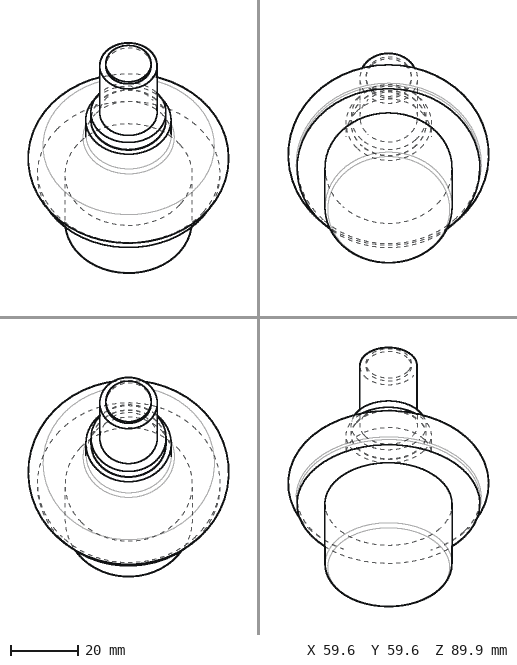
import cadquery as cq
import math

TOP_Z = 89.9
STEM_SHOULDER_Z = 88.9
COLLAR_TOP_Z = 65.75
SEAT_Z = 62.2
NECK_TOP_Z = 62.0
SHOULDER_END_Z = 49.2
FLANGE_BOTTOM_Z = 35.1

STEM_TIP_RADIUS = 6.75
STEM_RADIUS = 8.5
COLLAR_RADIUS = 11.15
NECK_RADIUS = 12.7
SHOULDER_END_RADIUS = 25.45
KNOB_RADIUS = 59.6 / 2
FLANGE_RADIUS = 27.2
PLUG_RADIUS = 18.9

SHOULDER_SLOPE = math.radians(20)
TIP_SLOPE = math.radians(30)
NECK_FILLET = 1.35
FLANGE_FILLET = 1.0
PLUG_FILLET = 1.5


def revolve_profile(profile):
    """Turn a closed radius-height profile about the Z axis."""
    return profile.close().revolve(360, (0, 0, 0), (0, 1, 0))


def arc_point(center, radius, angle):
    """Point of a circle at an angle measured from the outward radial direction."""
    return (center[0] + radius * math.cos(angle), center[1] + radius * math.sin(angle))


def make_stem():
    """Stepped shaft with a collar that rests on the knob."""
    return revolve_profile(
        cq.Workplane("XZ")
        .moveTo(0, SEAT_Z)
        .lineTo(COLLAR_RADIUS, SEAT_Z)
        .lineTo(COLLAR_RADIUS, COLLAR_TOP_Z)
        .lineTo(STEM_RADIUS, COLLAR_TOP_Z)
        .lineTo(STEM_RADIUS, STEM_SHOULDER_Z)
        .lineTo(STEM_TIP_RADIUS, STEM_SHOULDER_Z)
        .lineTo(STEM_TIP_RADIUS, TOP_Z)
        .lineTo(0, TOP_Z)
    )


def make_knob():
    """Neck, sloping shoulder, rounded rim and flange, with a thin seat for the collar."""
    rim_start_angle = math.pi / 2 - SHOULDER_SLOPE
    rim_radius = (KNOB_RADIUS - SHOULDER_END_RADIUS) / (1 - math.cos(rim_start_angle))
    rim_center = (
        KNOB_RADIUS - rim_radius,
        SHOULDER_END_Z - rim_radius * math.sin(rim_start_angle),
    )

    flange_fillet_x = FLANGE_RADIUS + FLANGE_FILLET
    rim_end_angle = -math.acos((flange_fillet_x - rim_center[0]) / (rim_radius + FLANGE_FILLET))
    flange_fillet_center = arc_point(rim_center, rim_radius + FLANGE_FILLET, rim_end_angle)
    flange_fillet_mid_angle = math.pi + rim_end_angle / 2

    neck_fillet_x = NECK_RADIUS + NECK_FILLET
    neck_fillet_end_angle = 1.5 * math.pi - SHOULDER_SLOPE
    neck_fillet_end_x = neck_fillet_x + NECK_FILLET * math.cos(neck_fillet_end_angle)
    neck_fillet_end_z = (
        SHOULDER_END_Z + (SHOULDER_END_RADIUS - neck_fillet_end_x) * math.tan(SHOULDER_SLOPE)
    )
    neck_fillet_center = (
        neck_fillet_x,
        neck_fillet_end_z - NECK_FILLET * math.sin(neck_fillet_end_angle),
    )
    neck_fillet_mid_angle = (math.pi + neck_fillet_end_angle) / 2

    return revolve_profile(
        cq.Workplane("XZ")
        .moveTo(0, SEAT_Z)
        .lineTo(COLLAR_RADIUS, SEAT_Z)
        .lineTo(COLLAR_RADIUS, NECK_TOP_Z)
        .lineTo(NECK_RADIUS, NECK_TOP_Z)
        .lineTo(NECK_RADIUS, neck_fillet_center[1])
        .threePointArc(
            arc_point(neck_fillet_center, NECK_FILLET, neck_fillet_mid_angle),
            (neck_fillet_end_x, neck_fillet_end_z),
        )
        .lineTo(SHOULDER_END_RADIUS, SHOULDER_END_Z)
        .threePointArc(
            (KNOB_RADIUS, rim_center[1]),
            arc_point(rim_center, rim_radius, rim_end_angle),
        )
        .threePointArc(
            arc_point(flange_fillet_center, FLANGE_FILLET, flange_fillet_mid_angle),
            (FLANGE_RADIUS, flange_fillet_center[1]),
        )
        .lineTo(FLANGE_RADIUS, FLANGE_BOTTOM_Z)
        .lineTo(0, FLANGE_BOTTOM_Z)
    )


def make_plug():
    """Cylinder below the flange, blended into a conical tip."""
    cone_top_radius = PLUG_RADIUS - PLUG_FILLET * (1 - math.sin(TIP_SLOPE))
    cone_top_z = cone_top_radius * math.tan(TIP_SLOPE)
    fillet_center = (PLUG_RADIUS - PLUG_FILLET, cone_top_z + PLUG_FILLET * math.cos(TIP_SLOPE))
    fillet_mid_angle = (TIP_SLOPE - math.pi / 2) / 2

    return revolve_profile(
        cq.Workplane("XZ")
        .moveTo(0, 0)
        .lineTo(cone_top_radius, cone_top_z)
        .threePointArc(
            arc_point(fillet_center, PLUG_FILLET, fillet_mid_angle),
            (PLUG_RADIUS, fillet_center[1]),
        )
        .lineTo(PLUG_RADIUS, FLANGE_BOTTOM_Z)
        .lineTo(0, FLANGE_BOTTOM_Z)
    )


stem = make_stem()
knob = make_knob()
plug = make_plug()

result = cq.Compound.makeCompound([stem.val(), knob.val(), plug.val()])